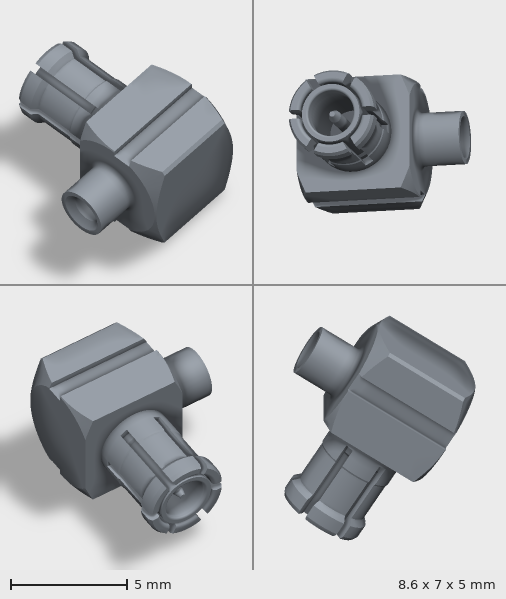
import cadquery as cq
import math


body_side = 5.0
body_left = -1.89
body_right = 2.51
body_edge_chamfer = 0.15
body_half = body_side / 2

corner_face_radius = 2.44
corner_cone_angle = 30

groove_left = 0.095
groove_width = 0.86
groove_depth = 0.29

plug_tip = -6.09
collet_rim_radius = 1.89
collet_rim_chamfer = 0.1
collet_rim_chamfer_length = 0.18
collet_rim_end = plug_tip + 0.76
collet_neck_radius = 1.65
collet_neck_start = plug_tip + 1.015
collet_neck_end = plug_tip + 2.8
collet_base_radius = 1.69
collet_base_start = plug_tip + 2.88
collet_bore_radius = 1.385
collet_lip_radius = 0.155
collet_bore_end = plug_tip + 3.36

slot_count = 6
slot_width = 0.38
slot_end = plug_tip + 3.715

sleeve_tip = plug_tip + 0.06
sleeve_radius = 1.27
sleeve_bore_radius = 1.01
sleeve_bore_lip = 0.095
pin_tip = plug_tip + 0.32
pin_radius = 0.27
pin_tip_radius = 0.12
pin_taper_length = 0.5

cable_end = -4.5
cable_radius = 1.15
cable_root_fillet = 0.2
cable_hole_radius = 0.63
cable_mouth_radius = 0.93
cable_mouth_depth = cable_mouth_radius - cable_hole_radius


def revolve_about_x(profile):
    return profile.close().revolve(360, (0, 0, 0), (1, 0, 0))


def revolve_about_y(profile):
    return profile.close().revolve(360, (0, 0, 0), (0, 1, 0))


def make_body():
    block = (
        cq.Workplane("XY")
        .box(body_right - body_left, body_side, body_side)
        .translate(((body_left + body_right) / 2, 0, 0))
        .edges(">X and |Y")
        .chamfer(body_edge_chamfer)
    )
    waist_radius = corner_face_radius + body_half / math.tan(math.radians(corner_cone_angle))
    envelope = revolve_about_y(
        cq.Workplane("XY")
        .moveTo(0, -body_half)
        .lineTo(corner_face_radius, -body_half)
        .lineTo(waist_radius, 0)
        .lineTo(corner_face_radius, body_half)
        .lineTo(0, body_half)
    )
    block = block.intersect(envelope)
    for side in (1, -1):
        groove = (
            cq.Workplane("XY")
            .box(groove_width, body_side, 2 * groove_depth)
            .translate((groove_left + groove_width / 2, 0, side * body_half))
        )
        block = block.cut(groove)
    return block


def make_collet():
    rim_face_radius = collet_rim_radius - collet_rim_chamfer
    bore_step = collet_bore_radius - sleeve_radius
    shell = revolve_about_x(
        cq.Workplane("XY")
        .moveTo(plug_tip, collet_bore_radius + collet_lip_radius)
        .lineTo(plug_tip, rim_face_radius)
        .lineTo(plug_tip + collet_rim_chamfer_length, collet_rim_radius)
        .lineTo(collet_rim_end, collet_rim_radius)
        .lineTo(collet_neck_start, collet_neck_radius)
        .lineTo(collet_neck_end, collet_neck_radius)
        .lineTo(collet_base_start, collet_base_radius)
        .lineTo(body_left, collet_base_radius)
        .lineTo(body_left, sleeve_radius)
        .lineTo(collet_bore_end - bore_step, sleeve_radius)
        .lineTo(collet_bore_end, collet_bore_radius)
        .lineTo(plug_tip + collet_lip_radius, collet_bore_radius)
        .radiusArc((plug_tip, collet_bore_radius + collet_lip_radius), collet_lip_radius)
    )
    core = (
        cq.Workplane("YZ")
        .workplane(offset=plug_tip)
        .circle(collet_bore_radius)
        .extrude(body_left - plug_tip)
    )
    for index in range(slot_count):
        slot = (
            cq.Workplane("XY")
            .box(slot_end - plug_tip, collet_rim_radius, slot_width, centered=(False, False, True))
            .translate((plug_tip, 0, 0))
            .cut(core)
            .rotate((0, 0, 0), (1, 0, 0), index * 360 / slot_count)
        )
        shell = shell.cut(slot)
    return shell


def make_inner_sleeve():
    return revolve_about_x(
        cq.Workplane("XY")
        .moveTo(sleeve_tip, sleeve_bore_radius + sleeve_bore_lip)
        .lineTo(sleeve_tip, sleeve_radius)
        .lineTo(body_left, sleeve_radius)
        .lineTo(body_left, sleeve_bore_radius)
        .lineTo(sleeve_tip + sleeve_bore_lip, sleeve_bore_radius)
        .radiusArc((sleeve_tip, sleeve_bore_radius + sleeve_bore_lip), sleeve_bore_lip)
    )


def make_pin():
    return revolve_about_x(
        cq.Workplane("XY")
        .moveTo(pin_tip, 0)
        .lineTo(pin_tip, pin_tip_radius)
        .lineTo(pin_tip + pin_taper_length, pin_radius)
        .lineTo(body_left, pin_radius)
        .lineTo(body_left, 0)
    )


def make_cable_sleeve():
    root_y = -body_half
    return revolve_about_y(
        cq.Workplane("XY")
        .moveTo(cable_hole_radius, root_y)
        .lineTo(cable_hole_radius, cable_end + cable_mouth_depth)
        .lineTo(cable_mouth_radius, cable_end)
        .lineTo(cable_radius, cable_end)
        .lineTo(cable_radius, root_y - cable_root_fillet)
        .radiusArc((cable_radius + cable_root_fillet, root_y), cable_root_fillet)
    )


result = (
    make_body()
    .union(make_collet())
    .union(make_inner_sleeve())
    .union(make_pin())
    .union(make_cable_sleeve())
)